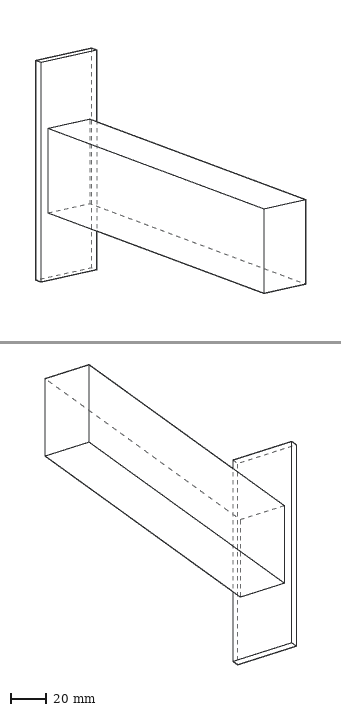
import cadquery as cq

total_length = 205.0

plate_thickness = 5.0
plate_width = 40.0
plate_height = 130.0

beam_length = total_length - plate_thickness
beam_width = 30.0
beam_height = 50.0


def block_along_x(start, length, width, height):
    """Rectangular block centred on the X axis, beginning at x = start."""
    return cq.Workplane("YZ", origin=(start, 0, 0)).rect(width, height).extrude(length)


end_plate = block_along_x(0, plate_thickness, plate_width, plate_height)
beam = block_along_x(plate_thickness, beam_length, beam_width, beam_height)

result = cq.Compound.makeCompound([end_plate.val(), beam.val()])